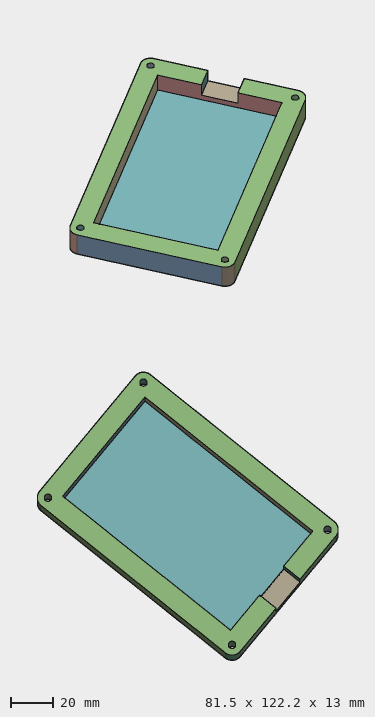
import cadquery as cq

width = 81.5
length = 122.2
height = 13.0

wall = 10.0
corner_radius = 5.0
pocket_depth = 10.0
notch_width = 18.0
notch_depth = 7.0
hole_diameter = 3.4
hole_inset = corner_radius


def tray_body():
    """Solid block with rounded vertical corners."""
    block = cq.Workplane("XY").box(width, length, height, centered=(True, True, False))
    return block.edges("|Z").fillet(corner_radius)


def pocket():
    """Rectangular cavity that is open at the top."""
    return (
        cq.Workplane("XY")
        .workplane(offset=height - pocket_depth)
        .rect(width - 2 * wall, length - 2 * wall)
        .extrude(pocket_depth)
    )


def notch():
    """Cable opening through the middle of the +Y wall."""
    return (
        cq.Workplane("XY")
        .workplane(offset=height - notch_depth)
        .center(0, (length - wall) / 2)
        .rect(notch_width, wall)
        .extrude(notch_depth)
    )


def corner_holes():
    """Four screw holes through the full height."""
    return (
        cq.Workplane("XY")
        .rect(width - 2 * hole_inset, length - 2 * hole_inset, forConstruction=True)
        .vertices()
        .circle(hole_diameter / 2)
        .extrude(height)
    )


result = tray_body().cut(pocket()).cut(notch()).cut(corner_holes())